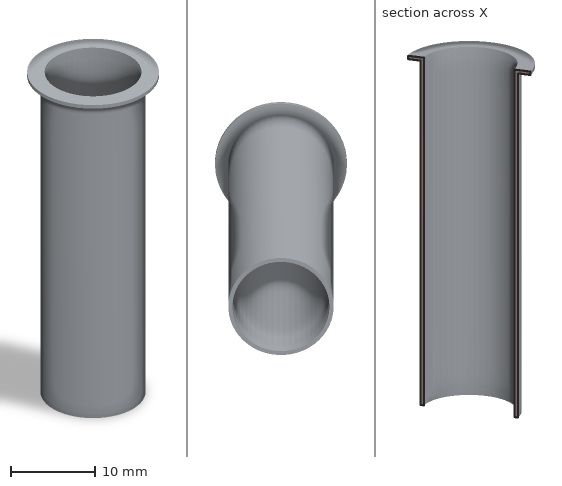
import cadquery as cq

total_length = 43.9
bore_diameter = 11.5
tube_diameter = 12.5
flange_diameter = 15.67
flange_thickness = 0.5

tube = cq.Workplane("XY").circle(tube_diameter / 2).extrude(total_length)

flange = (
    cq.Workplane("XY")
    .workplane(offset=total_length - flange_thickness)
    .circle(flange_diameter / 2)
    .extrude(flange_thickness)
)

bore = cq.Workplane("XY").circle(bore_diameter / 2).extrude(total_length)

result = tube.union(flange).cut(bore)